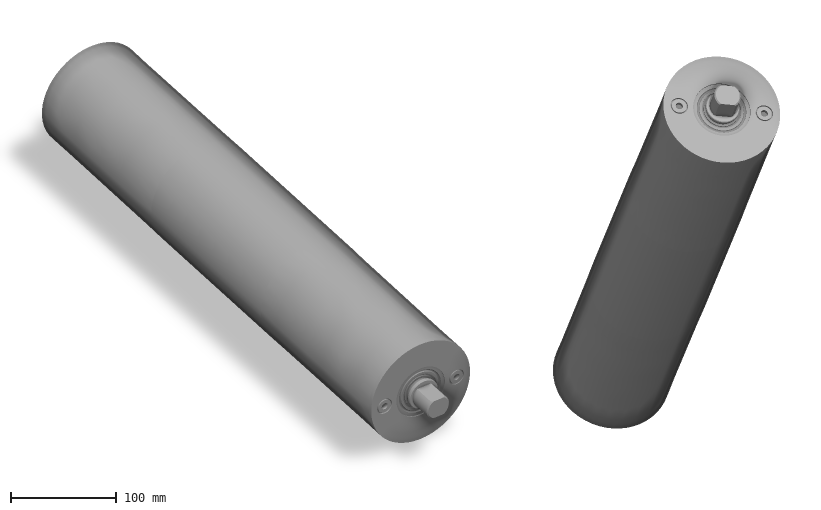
import cadquery as cq

total_length = 620.0
axle_projection = 30.5
drum_length = total_length - 2 * axle_projection
crown_length = drum_length / 3
cap_rim_length = 4.5
face = drum_length / 2

crown_diameter = 113.5
radial_taper = 0.5
cap_diameter = crown_diameter - 2 * radial_taper

axle_diameter = 25.5
axle_root_length = 6.0
axle_flat_height = 20.0
axle_chamfer = 1.0
collar_diameter = 32.0
collar_thickness = 3.0
collar_chamfer = 0.5
neck_diameter = 30.0
neck_length = 2.5

seal_diameter = 55.0
seal_depth = 1.0
round_groove_outer = 48.0
round_groove_inner = 43.0
flat_groove_outer = 38.0
flat_groove_inner = 34.0
flat_groove_depth = 1.0

screw_offset = 41.0
screw_diameter = 17.0
screw_head_diameter = 14.0
screw_socket_diameter = 7.0
screw_groove_depth = 2.0
screw_socket_depth = 4.0


def disc(diameter, start, length):
    """Cylinder along +X."""
    return cq.Workplane("YZ", origin=(start, 0, 0)).circle(diameter / 2).extrude(length)


def ring(outer, inner, start, length):
    """Tube along +X between two diameters."""
    return disc(outer, start, length).cut(disc(inner, start, length))


def drum():
    """Solid drum turned about X: straight crown, two tapers and two cap rims."""
    half_crown = crown_length / 2
    taper_end = face - cap_rim_length
    profile = [
        (-face, 0),
        (-face, cap_diameter / 2),
        (-taper_end, cap_diameter / 2),
        (-half_crown, crown_diameter / 2),
        (half_crown, crown_diameter / 2),
        (taper_end, cap_diameter / 2),
        (face, cap_diameter / 2),
        (face, 0),
    ]
    return cq.Workplane("XY").polyline(profile).close().revolve(360, (0, 0, 0), (1, 0, 0))


def axle_end():
    """Flatted shaft, neck and collar at the +X end."""
    root = face - axle_root_length
    flats = cq.Workplane("XY").box(2 * total_length, crown_diameter, axle_flat_height)
    shaft = disc(axle_diameter, root, axle_projection + axle_root_length)
    shaft = shaft.faces(">X").chamfer(axle_chamfer).intersect(flats)
    neck = disc(neck_diameter, root, neck_length + axle_root_length)
    collar = disc(collar_diameter, face + neck_length, collar_thickness)
    collar = collar.faces(">X").chamfer(collar_chamfer)
    return shaft.union(neck).union(collar)


def round_groove(floor):
    """Torus whose lower half forms a groove below the given floor."""
    middle_radius = (round_groove_outer + round_groove_inner) / 4
    groove_radius = (round_groove_outer - round_groove_inner) / 4
    section = cq.Workplane("XY").center(floor, middle_radius).circle(groove_radius)
    return section.revolve(360, (-floor, -middle_radius, 0), (6 - floor, -middle_radius, 0))


def cap_recesses():
    """Everything cut into the face of the +X cap."""
    seal_floor = face - seal_depth
    cuts = ring(seal_diameter, neck_diameter, seal_floor, seal_depth)
    cuts = cuts.union(round_groove(seal_floor))
    flat_groove_start = seal_floor - flat_groove_depth
    cuts = cuts.union(ring(flat_groove_outer, flat_groove_inner, flat_groove_start, flat_groove_depth))
    for side in (-1, 1):
        groove = ring(screw_diameter, screw_head_diameter, face - screw_groove_depth, screw_groove_depth)
        socket = disc(screw_socket_diameter, face - screw_socket_depth, screw_socket_depth)
        cuts = cuts.union(groove.union(socket).translate((0, side * screw_offset, 0)))
    return cuts


result = drum()
for turn in (0, 180):
    result = result.cut(cap_recesses().rotate((0, 0, 0), (0, 0, 1), turn))
    result = result.union(axle_end().rotate((0, 0, 0), (0, 0, 1), turn))